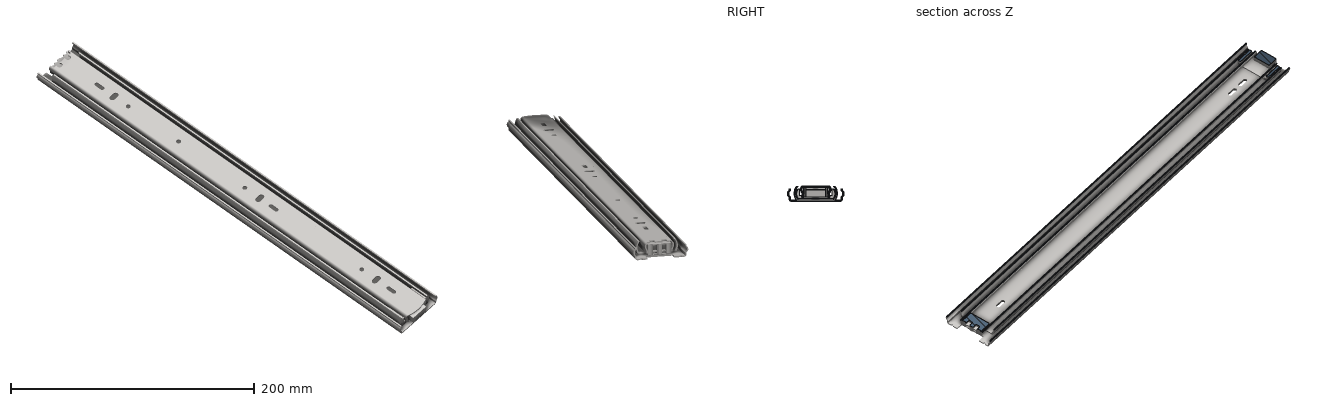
import cadquery as cq


SHEET = 1.2

OUTER_LENGTH = 399.0
OUTER_WALL_Y = 22.0
OUTER_BULGE_Y = 23.4
OUTER_TOP_Z = 10.5
OUTER_CORNER = 2.5
RACE_Z = 6.5
RACE_HALF_HEIGHT = 2.6
MOUTH_HALF_WIDTH = 11.4
MOUTH_DEPTH = 6.0
NIBBLE_Y = 17.0
NIBBLE_RADIUS = 1.0

MIDDLE_START_X = 12.0
MIDDLE_END_X = 394.5
MIDDLE_FLOOR_Z = SHEET
MIDDLE_TOP_Z = 12.5
MIDDLE_EDGE_Y = 16.0
MIDDLE_BOW = 1.8
MIDDLE_DECK_Z = MIDDLE_FLOOR_Z + SHEET

INNER_START_X = 4.0
INNER_CORNER_X = 396.0
INNER_END_X = 398.5
INNER_TOP_Z = 13.0
INNER_WALL_Y = 12.5
INNER_WAIST_Y = 11.2
INNER_BOTTOM_Z = 4.0
SHOULDER = 2.0
INNER_RACE_TOP_Z = RACE_Z + RACE_HALF_HEIGHT
INNER_UNDERSIDE_Z = INNER_TOP_Z - SHEET
PLATE_HALF_WIDTH = INNER_WALL_Y - SHOULDER
PLATE_SETBACK = 3.5
LOBE_Y = 5.2
LOBE_RADIUS = 2.5
LOBE_X = 9.2

HOLE_DIAMETER = 4.0
HOLE_XS = [80.0, 135.3, 208.0, 336.5]
SLOT_WIDTH = 3.5
LONG_SLOT_LENGTH = 9.5
LONG_SLOT_XS = [48.5, 239.5, 369.0]
CROSS_SLOT_WIDTH = 5.0
CROSS_SLOT_LENGTH = 9.0
CROSS_SLOT_XS = [64.5, 224.5, 352.5]

FLOOR_SLOT_LENGTH = 9.5
FLOOR_SLOT_XS = [43.2, 351.7, 365.5]

GRIP_TIP_X = 3.5
GRIP_DEPTH = 1.2
HOLLOW_WIDTH = 4.5
HOLLOWS_PER_SIDE = 2
MIDDLE_TOOTH_WIDTH = 2.5
BUMPER_END_X = 16.0
POCKET_NEAR_Y = 2.0
POCKET_FAR_Y = 5.5
POCKET_END_X = 8.0
POCKET_RANGES_Z = [(3.0, 4.5), (5.5, 10.5)]

CLIP_START_X = 379.0
CLIP_HALF_WIDTH = 14.5
CLIP_FOOT_Y = 11.5
CLIP_THICKNESS = 1.2
CLIP_BOW = 1.5
CLIP_FOOT_Z = 5.2
CLIP_TOP_Z = 10.5
CLIP_DECK_Z = MIDDLE_DECK_Z + CLIP_THICKNESS

NOSE_X = 400.0
REAR_BUMPER_START_X = 390.0
REAR_BUMPER_STEP_X = 396.0
REAR_BUMPER_HALF_WIDTH = 8.0
NOSE_TOP_Z = 9.5
NOSE_STEP_Z = 10.0


def symmetric_bar(half_outline, start_x, end_x):
    """Extrude a half outline (Y, Z) along X and add its mirror image across the XZ plane."""
    half = half_outline.close().extrude(end_x - start_x).translate((start_x, 0, 0))
    return half.union(half.mirror("XZ")).clean()


def slot_cutters(xs, length, width, angle=0):
    """Vertical slots on the centre line, tall enough to pass through any rail."""
    return (
        cq.Workplane("XY")
        .pushPoints([(x, 0) for x in xs])
        .slot2D(length, width, angle)
        .extrude(INNER_TOP_Z)
    )


def make_outer_rail():
    race_low = RACE_Z - RACE_HALF_HEIGHT
    race_high = RACE_Z + RACE_HALF_HEIGHT
    inside_y = OUTER_WALL_Y - SHEET
    outline = (
        cq.Workplane("YZ")
        .moveTo(0, 0)
        .lineTo(OUTER_WALL_Y - OUTER_CORNER, 0)
        .radiusArc((OUTER_WALL_Y, OUTER_CORNER), -OUTER_CORNER)
        .lineTo(OUTER_WALL_Y, race_low)
        .threePointArc((OUTER_BULGE_Y, RACE_Z), (OUTER_WALL_Y, race_high))
        .lineTo(OUTER_WALL_Y, OUTER_TOP_Z)
        .lineTo(inside_y, OUTER_TOP_Z)
        .lineTo(inside_y, race_high)
        .threePointArc((OUTER_BULGE_Y - SHEET, RACE_Z), (inside_y, race_low))
        .lineTo(inside_y, SHEET)
        .lineTo(0, SHEET)
    )
    rail = symmetric_bar(outline, 0, OUTER_LENGTH)
    mouth = cq.Workplane("XY").rect(2 * MOUTH_DEPTH, 2 * MOUTH_HALF_WIDTH).extrude(SHEET)
    nibbles = (
        cq.Workplane("XY")
        .pushPoints([(0, -NIBBLE_Y), (0, NIBBLE_Y)])
        .circle(NIBBLE_RADIUS)
        .extrude(SHEET)
    )
    floor_slots = slot_cutters(FLOOR_SLOT_XS, FLOOR_SLOT_LENGTH, SLOT_WIDTH)
    return rail.cut(mouth).cut(nibbles).cut(floor_slots)


def make_middle_rail():
    inside_y = MIDDLE_EDGE_Y - SHEET
    bow_y = MIDDLE_EDGE_Y + MIDDLE_BOW
    outside_mid_z = (MIDDLE_FLOOR_Z + MIDDLE_TOP_Z) / 2
    inside_mid_z = (MIDDLE_DECK_Z + MIDDLE_TOP_Z) / 2
    outline = (
        cq.Workplane("YZ")
        .moveTo(0, MIDDLE_FLOOR_Z)
        .lineTo(MIDDLE_EDGE_Y, MIDDLE_FLOOR_Z)
        .threePointArc((bow_y, outside_mid_z), (MIDDLE_EDGE_Y, MIDDLE_TOP_Z))
        .lineTo(inside_y, MIDDLE_TOP_Z)
        .threePointArc((bow_y - SHEET, inside_mid_z), (inside_y, MIDDLE_DECK_Z))
        .lineTo(0, MIDDLE_DECK_Z)
    )
    rail = symmetric_bar(outline, MIDDLE_START_X, MIDDLE_END_X)
    return rail.cut(slot_cutters(FLOOR_SLOT_XS, FLOOR_SLOT_LENGTH, SLOT_WIDTH))


def inner_rail_end():
    """Plan shape that trims the rear end of the inner rail to a shallow arc."""
    return (
        cq.Workplane("XY")
        .moveTo(0, -INNER_WALL_Y)
        .lineTo(INNER_CORNER_X, -INNER_WALL_Y)
        .threePointArc((INNER_END_X, 0), (INNER_CORNER_X, INNER_WALL_Y))
        .lineTo(0, INNER_WALL_Y)
        .close()
        .extrude(INNER_TOP_Z)
    )


def inner_front_cutter():
    """Sets the flat top back from the walls, with two round notches in its front edge."""
    setback = (
        cq.Workplane("XY", origin=(INNER_START_X, 0, INNER_UNDERSIDE_Z))
        .rect(2 * PLATE_SETBACK, 2 * PLATE_HALF_WIDTH)
        .extrude(SHEET)
    )
    lobes = (
        cq.Workplane("XY", origin=(LOBE_X, 0, INNER_UNDERSIDE_Z))
        .pushPoints([(0, -LOBE_Y), (0, LOBE_Y)])
        .circle(LOBE_RADIUS)
        .extrude(SHEET)
    )
    return setback.union(lobes)


def make_inner_rail():
    shoulder_inside = SHOULDER - SHEET
    wall_inside_y = INNER_WALL_Y - SHEET
    waist_inside_y = INNER_WAIST_Y - SHEET
    outline = (
        cq.Workplane("YZ")
        .moveTo(0, INNER_TOP_Z)
        .lineTo(PLATE_HALF_WIDTH, INNER_TOP_Z)
        .radiusArc((INNER_WALL_Y, INNER_TOP_Z - SHOULDER), SHOULDER)
        .lineTo(INNER_WALL_Y, INNER_RACE_TOP_Z)
        .lineTo(INNER_WAIST_Y, RACE_Z)
        .lineTo(INNER_WAIST_Y, INNER_BOTTOM_Z)
        .lineTo(waist_inside_y, INNER_BOTTOM_Z)
        .lineTo(waist_inside_y, RACE_Z)
        .lineTo(wall_inside_y, INNER_RACE_TOP_Z)
        .lineTo(wall_inside_y, INNER_UNDERSIDE_Z - shoulder_inside)
        .radiusArc((PLATE_HALF_WIDTH, INNER_UNDERSIDE_Z), -shoulder_inside)
        .lineTo(0, INNER_UNDERSIDE_Z)
    )
    rail = symmetric_bar(outline, INNER_START_X, INNER_END_X)
    rail = rail.intersect(inner_rail_end()).cut(inner_front_cutter())
    holes = (
        cq.Workplane("XY")
        .pushPoints([(x, 0) for x in HOLE_XS])
        .circle(HOLE_DIAMETER / 2)
        .extrude(INNER_TOP_Z)
    )
    long_slots = slot_cutters(LONG_SLOT_XS, LONG_SLOT_LENGTH, SLOT_WIDTH)
    cross_slots = slot_cutters(CROSS_SLOT_XS, CROSS_SLOT_LENGTH, CROSS_SLOT_WIDTH, 90)
    return rail.cut(holes).cut(long_slots).cut(cross_slots)


def make_front_bumper():
    half_tooth = MIDDLE_TOOTH_WIDTH / 2
    half_outline = (
        cq.Workplane("XY", origin=(0, 0, MIDDLE_DECK_Z))
        .moveTo(BUMPER_END_X, 0)
        .lineTo(GRIP_TIP_X, 0)
        .lineTo(GRIP_TIP_X, half_tooth)
    )
    for hollow in range(HOLLOWS_PER_SIDE):
        start_y = half_tooth + hollow * HOLLOW_WIDTH
        deepest = (GRIP_TIP_X + GRIP_DEPTH, start_y + HOLLOW_WIDTH / 2)
        half_outline = half_outline.threePointArc(deepest, (GRIP_TIP_X, start_y + HOLLOW_WIDTH))
    side_y = half_tooth + HOLLOWS_PER_SIDE * HOLLOW_WIDTH
    half = (
        half_outline.lineTo(BUMPER_END_X, side_y)
        .close()
        .extrude(INNER_UNDERSIDE_Z - MIDDLE_DECK_Z)
    )
    bumper = half.union(half.mirror("XZ")).clean()

    pocket_width = POCKET_FAR_Y - POCKET_NEAR_Y
    for corner_y in (POCKET_NEAR_Y, -POCKET_FAR_Y):
        for low_z, high_z in POCKET_RANGES_Z:
            pocket = cq.Workplane("XY").box(
                POCKET_END_X, pocket_width, high_z - low_z, centered=False
            )
            bumper = bumper.cut(pocket.translate((0, corner_y, low_z)))
    return bumper


def make_retaining_clip():
    bow_point = (CLIP_HALF_WIDTH + CLIP_BOW, (MIDDLE_DECK_Z + CLIP_TOP_Z) / 2)
    arm_inside_y = CLIP_HALF_WIDTH - CLIP_THICKNESS
    outline = (
        cq.Workplane("YZ")
        .moveTo(0, MIDDLE_DECK_Z)
        .lineTo(CLIP_HALF_WIDTH, MIDDLE_DECK_Z)
        .threePointArc(bow_point, (CLIP_HALF_WIDTH, CLIP_TOP_Z))
        .lineTo(arm_inside_y, CLIP_TOP_Z)
        .lineTo(arm_inside_y, CLIP_FOOT_Z)
        .lineTo(CLIP_FOOT_Y, CLIP_FOOT_Z)
        .lineTo(CLIP_FOOT_Y, CLIP_DECK_Z)
        .lineTo(0, CLIP_DECK_Z)
    )
    return symmetric_bar(outline, CLIP_START_X, MIDDLE_END_X)


def make_rear_bumper():
    return (
        cq.Workplane("XZ")
        .moveTo(REAR_BUMPER_START_X, CLIP_DECK_Z)
        .lineTo(NOSE_X, CLIP_DECK_Z)
        .lineTo(NOSE_X, NOSE_TOP_Z)
        .lineTo(REAR_BUMPER_STEP_X, NOSE_STEP_Z)
        .lineTo(REAR_BUMPER_STEP_X, INNER_UNDERSIDE_Z)
        .lineTo(REAR_BUMPER_START_X, INNER_UNDERSIDE_Z)
        .close()
        .extrude(REAR_BUMPER_HALF_WIDTH, both=True)
    )


outer_rail = make_outer_rail()
middle_rail = make_middle_rail()
inner_rail = make_inner_rail()
front_bumper = make_front_bumper()
retaining_clip = make_retaining_clip()
rear_bumper = make_rear_bumper()

result = cq.Compound.makeCompound(
    [
        outer_rail.val(),
        middle_rail.val(),
        inner_rail.val(),
        front_bumper.val(),
        retaining_clip.val(),
        rear_bumper.val(),
    ]
)